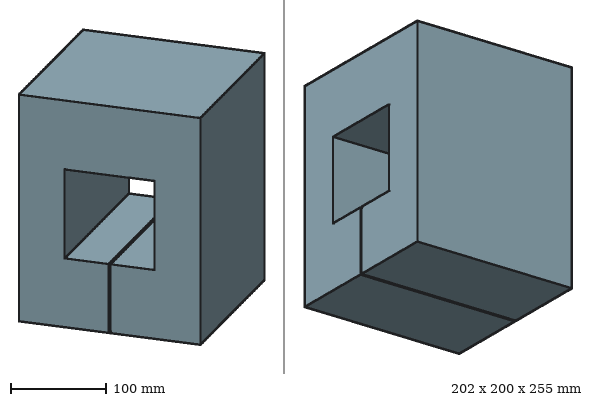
import cadquery as cq

width = 202.0
depth = 200.0
height = 255.0

window_side = 100.0

slit_width = 2.0

block = cq.Workplane("XY").box(width, depth, height)
window = cq.Workplane("XY").box(window_side, depth, window_side)

slit_height = height / 2
slit = cq.Workplane("XY").box(slit_width, depth, slit_height).translate((0, 0, -slit_height / 2))

result = block.cut(window).cut(slit)